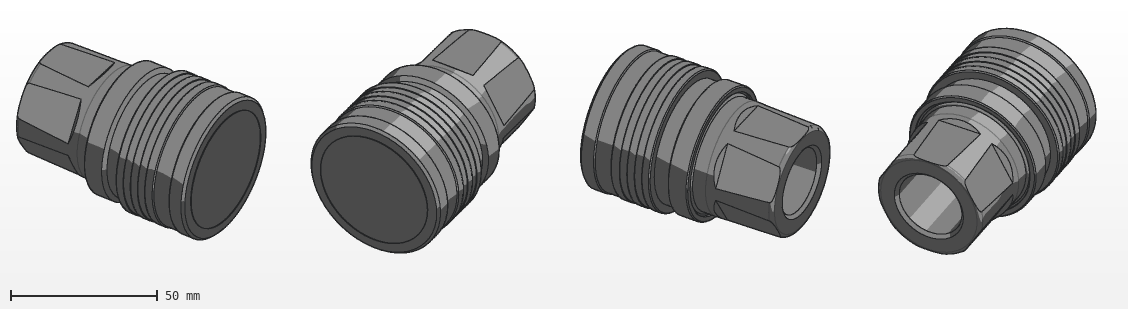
import cadquery as cq
import math

TOTAL_LENGTH = 73.0
FLAT_END = 22.05
CONE_END = 25.9
COLLAR_START = 31.0
COLLAR_END = 38.4
NECK_START = 39.4
SLEEVE_START = 45.0
SLEEVE_END = 72.7

NOSE_RADIUS = 20.1
SHAFT_RADIUS = 20.8
COLLAR_RADIUS = 24.5
NECK_RADIUS = 22.8
SLEEVE_RADIUS = 26.0
TAIL_RADIUS = 21.45

NOSE_FILLET = 1.45
STEP_CHAMFER = 0.45
SLEEVE_END_CHAMFER = 0.95

SHOULDER_ROUND = 0.9
RELIEF_OUTER_RADIUS = 22.4

NARROW_GROOVE_DEPTH = 0.4
NARROW_GROOVE_WIDTH = 2.9
NARROW_GROOVE_STARTS = (48.1, 53.95)
WIDE_GROOVE_DEPTH = 0.45
WIDE_GROOVE_START = 60.0
WIDE_GROOVE_END = 67.0

FLAT_COUNT = 6
FLAT_DISTANCE = 19.05
FLAT_HALF_WIDTH = FLAT_DISTANCE * math.tan(math.pi / FLAT_COUNT)

BORE_RADIUS = 12.1
BORE_CHAMFER = 1.25
BORE_DEPTH = CONE_END


def revolve_about_x(outline):
    """Turn a closed (x, radius) outline around the X axis."""
    return outline.close().revolve(360, (0, 0, 0), (1, 0, 0))


def turned_body():
    """Solid of revolution with the nose, shaft, collar, neck, sleeve and tail."""
    outline = (
        cq.Workplane("XY")
        .moveTo(0, 0)
        .lineTo(0, NOSE_RADIUS)
        .lineTo(CONE_END, SHAFT_RADIUS)
        .lineTo(COLLAR_START, SHAFT_RADIUS)
        .lineTo(COLLAR_START, COLLAR_RADIUS - STEP_CHAMFER)
        .lineTo(COLLAR_START + STEP_CHAMFER, COLLAR_RADIUS)
        .lineTo(COLLAR_END, COLLAR_RADIUS)
        .lineTo(NECK_START, NECK_RADIUS)
        .lineTo(SLEEVE_START, NECK_RADIUS)
        .lineTo(SLEEVE_START, SLEEVE_RADIUS - STEP_CHAMFER)
        .lineTo(SLEEVE_START + STEP_CHAMFER, SLEEVE_RADIUS)
        .lineTo(SLEEVE_END - SLEEVE_END_CHAMFER, SLEEVE_RADIUS)
        .lineTo(SLEEVE_END, SLEEVE_RADIUS - SLEEVE_END_CHAMFER)
        .lineTo(SLEEVE_END, TAIL_RADIUS)
        .lineTo(TOTAL_LENGTH, TAIL_RADIUS)
        .lineTo(TOTAL_LENGTH, 0)
    )
    return revolve_about_x(outline).faces("<X").edges().fillet(NOSE_FILLET)


def shoulder_relief():
    """Ring-shaped cutter for the collar face that leaves a rounded shoulder on its inner side."""
    floor = COLLAR_START + SHOULDER_ROUND
    crest_radius = SHAFT_RADIUS + SHOULDER_ROUND
    arc_step = SHOULDER_ROUND * math.sqrt(0.5)
    outline = (
        cq.Workplane("XY")
        .moveTo(COLLAR_START, SHAFT_RADIUS)
        .threePointArc((floor - arc_step, SHAFT_RADIUS + arc_step), (floor, crest_radius))
        .lineTo(floor, RELIEF_OUTER_RADIUS)
        .lineTo(COLLAR_START, RELIEF_OUTER_RADIUS)
    )
    return revolve_about_x(outline)


def sleeve_groove(start, end, depth, wall_run):
    """Shallow groove around the sleeve; each wall takes wall_run of its width."""
    floor_radius = SLEEVE_RADIUS - depth
    outline = (
        cq.Workplane("XY")
        .moveTo(start, SLEEVE_RADIUS)
        .lineTo(start + wall_run, floor_radius)
        .lineTo(end - wall_run, floor_radius)
        .lineTo(end, SLEEVE_RADIUS)
    )
    return revolve_about_x(outline)


def wrench_flat():
    """Block above the top flat, with a 45 degree run-out at its inner end."""
    height = SLEEVE_RADIUS - FLAT_DISTANCE
    return (
        cq.Workplane("XZ")
        .moveTo(0, FLAT_DISTANCE)
        .lineTo(FLAT_END, FLAT_DISTANCE)
        .lineTo(FLAT_END + height, SLEEVE_RADIUS)
        .lineTo(0, SLEEVE_RADIUS)
        .close()
        .extrude(FLAT_HALF_WIDTH, both=True)
    )


def bore():
    """Blind bore from the nose face with a chamfered mouth."""
    outline = (
        cq.Workplane("XY")
        .moveTo(0, 0)
        .lineTo(0, BORE_RADIUS + BORE_CHAMFER)
        .lineTo(BORE_CHAMFER, BORE_RADIUS)
        .lineTo(BORE_DEPTH, BORE_RADIUS)
        .lineTo(BORE_DEPTH, 0)
    )
    return revolve_about_x(outline)


result = turned_body().cut(shoulder_relief()).cut(bore())

for groove_start in NARROW_GROOVE_STARTS:
    groove_end = groove_start + NARROW_GROOVE_WIDTH
    result = result.cut(sleeve_groove(groove_start, groove_end, NARROW_GROOVE_DEPTH, 0))

result = result.cut(
    sleeve_groove(WIDE_GROOVE_START, WIDE_GROOVE_END, WIDE_GROOVE_DEPTH, WIDE_GROOVE_DEPTH)
)

for index in range(FLAT_COUNT):
    angle = index * 360 / FLAT_COUNT
    result = result.cut(wrench_flat().rotate((0, 0, 0), (1, 0, 0), angle))